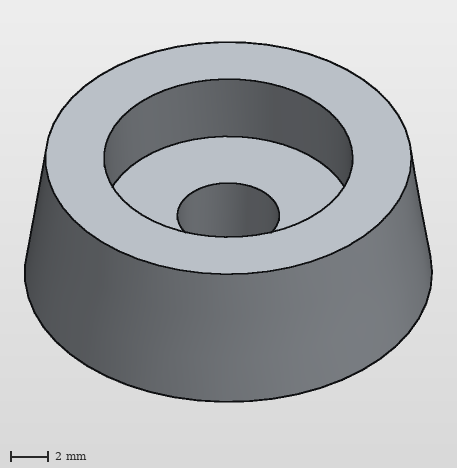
import cadquery as cq
import math

base_diameter = 22.0
height = 8.0
draft_angle = 8.0
recess_diameter = 13.43
recess_depth = 4.0
hole_diameter = 5.5

base_radius = base_diameter / 2
top_radius = base_radius - height * math.tan(math.radians(draft_angle))
recess_floor = height - recess_depth


def tapered_body():
    """Solid truncated cone standing on the XY plane."""
    return cq.Workplane("XY").add(cq.Solid.makeCone(base_radius, top_radius, height))


def head_recess():
    """Flat-bottomed round recess, open at the top face."""
    return cq.Workplane("XY").workplane(offset=recess_floor).circle(recess_diameter / 2).extrude(recess_depth)


def screw_hole():
    """Hole through the full height, on the axis."""
    return cq.Workplane("XY").circle(hole_diameter / 2).extrude(height)


result = tapered_body().cut(head_recess()).cut(screw_hole())